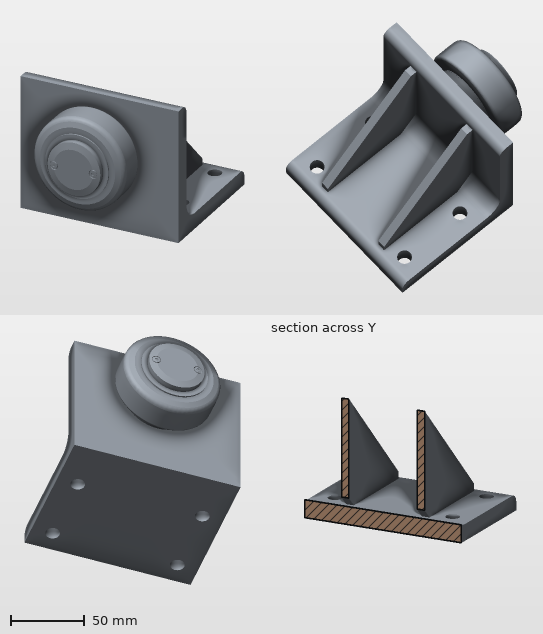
import cadquery as cq
import math

width = 120.0
leg = 100.0
thickness = 12.0
tip_radius = 6.0
inner_radius = 12.0

gusset_width = 6.0
gusset_offset = 29.0
gusset_leg = 80.0
gusset_flat = 5.0
gusset_relief = 14.0

hole_diameter = 10.0
hole_spacing_x = 90.0
hole_spacing_y = 50.0
hole_edge_distance = 15.0

roller_z = 60.0
spacer_end = 9.5
spacer_diameter = 47.8
ring_end = 34.4
ring_diameter = 48.0
cap_diameter = 40.0
cap_end = 139.8 - leg
cap_chamfer_length = 1.1
cap_face_diameter = 29.9
roller_start = 10.3
roller_end = 33.3
roller_radius = 35.1
roller_edge_radius = 34.8
roller_face_radius = 28.5
roller_cone_angle = 20
roller_back_fillet = 2.0
roller_front_fillet = 4.0

pin_spacing = 29.9
pin_diameter = 5.3
pin_groove_diameter = 6.5
pin_groove_depth = 1.1
pin_dimple_diameter = 2.2
pin_dimple_depth = 0.5


def make_bracket():
    profile = [(0, 0), (leg, 0), (leg, thickness), (thickness, thickness), (thickness, leg), (0, leg)]
    bracket = cq.Workplane("YZ").polyline(profile).close().extrude(width / 2, both=True)
    inner_corner = cq.selectors.NearestToPointSelector((0, thickness, thickness))
    bracket = bracket.edges(inner_corner).fillet(inner_radius)
    for y, z in [(leg, thickness), (thickness, leg)]:
        bracket = bracket.edges(cq.selectors.NearestToPointSelector((0, y, z))).fillet(tip_radius)
    hole_y = leg - hole_edge_distance - hole_spacing_y / 2
    holes = (
        cq.Workplane("XY")
        .center(0, hole_y)
        .rarray(hole_spacing_x, hole_spacing_y, 2, 2)
        .circle(hole_diameter / 2)
        .extrude(thickness)
    )
    return bracket.cut(holes)


def make_gusset(x):
    inner = thickness
    relieved = thickness + gusset_relief
    flat = thickness + gusset_flat
    outer = thickness + gusset_leg
    profile = [(relieved, inner), (outer, inner), (outer, flat), (flat, outer), (inner, outer), (inner, relieved)]
    gusset = cq.Workplane("YZ").polyline(profile).close().extrude(gusset_width / 2, both=True)
    return gusset.translate((x, 0, 0))


def revolve_about_roller_axis(profile):
    solid = profile.close().revolve(360, (0, 0, 0), (0, 1, 0))
    return solid.translate((0, 0, roller_z))


def make_stem():
    profile = (
        cq.Workplane("XY")
        .lineTo(spacer_diameter / 2, 0)
        .lineTo(spacer_diameter / 2, -spacer_end)
        .lineTo(ring_diameter / 2, -spacer_end)
        .lineTo(ring_diameter / 2, -ring_end)
        .lineTo(cap_diameter / 2, -ring_end)
        .lineTo(cap_diameter / 2, -cap_end + cap_chamfer_length)
        .lineTo(cap_face_diameter / 2, -cap_end)
        .lineTo(0, -cap_end)
    )
    return revolve_about_roller_axis(profile)


def make_roller():
    cone_rise = (roller_edge_radius - roller_face_radius) * math.tan(math.radians(roller_cone_angle))
    cone_start = roller_end - cone_rise
    crown_middle = (roller_start + cone_start) / 2
    profile = (
        cq.Workplane("XY")
        .moveTo(0, -roller_start)
        .lineTo(roller_edge_radius, -roller_start)
        .threePointArc((roller_radius, -crown_middle), (roller_edge_radius, -cone_start))
        .lineTo(roller_face_radius, -roller_end)
        .lineTo(0, -roller_end)
    )
    roller = revolve_about_roller_axis(profile)
    for y, radius in [(-roller_start, roller_back_fillet), (-cone_start, roller_front_fillet)]:
        rim = cq.selectors.NearestToPointSelector((0, y, roller_z))
        roller = roller.edges("%CIRCLE").edges(rim).fillet(radius)
    return roller


def disc(x, diameter, depth):
    face = cq.Workplane("XZ", origin=(x, -cap_end, roller_z))
    return face.circle(diameter / 2).extrude(-depth)


def make_pin_recess(x):
    groove = disc(x, pin_groove_diameter, pin_groove_depth).cut(disc(x, pin_diameter, pin_groove_depth))
    return groove.union(disc(x, pin_dimple_diameter, pin_dimple_depth))


result = make_bracket().union(make_stem()).union(make_roller())
for side in (-1, 1):
    result = result.union(make_gusset(side * gusset_offset))
    result = result.cut(make_pin_recess(side * pin_spacing / 2))